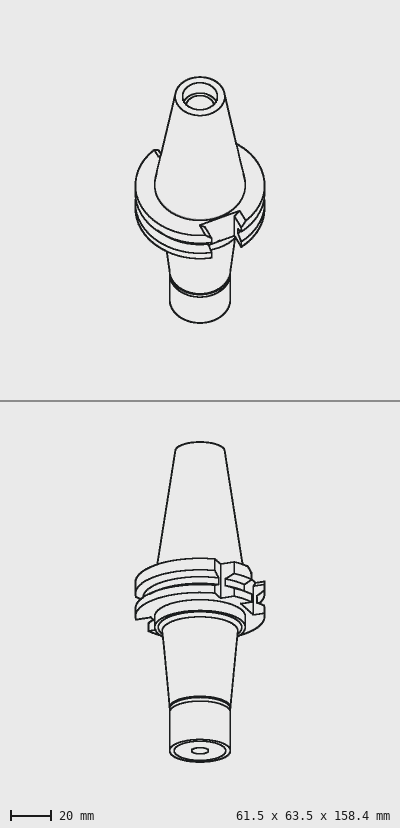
import cadquery as cq
import math

total_height = 158.4
taper_bottom = 90.0
flange_top = 89.0
flange_bottom = 71.0
collar_bottom = 65.3
neck_top = 63.4
neck_bottom = 22.8
ring_gap = 0.6
ring_top = neck_bottom - ring_gap
ring_bottom = 20.3

taper_top_radius = 12.2
taper_base_radius = 44.5 / 2
flange_radius = 63.5 / 2
neck_top_radius = 37.2 / 2
neck_bottom_radius = 30.0 / 2
neck_chamfer_radius = neck_top_radius + collar_bottom - neck_top
spigot_radius = 12.7

groove_radius = 28.0
groove_floor_top = 80.8
groove_floor_bottom = 77.3
groove_flank_rise = (flange_radius - groove_radius) * math.tan(math.radians(30))

slot_width = 16.0
slot_chamfer = 2.9
left_slot_floor = 25.0
right_slot_floor = 22.8
notch_offset = 18.5

pilot_bore_radius = 8.5
pilot_bore_depth = 8.0
thread_bore_radius = 7.0
thread_bore_depth = 42.8
through_hole_radius = 4.1

nut_radius = neck_bottom_radius


def make_holder_blank():
    """Turned holder body: spigot, neck, collar, grooved flange and steep taper."""
    profile = [
        (0, 0),
        (spigot_radius, 0),
        (spigot_radius, neck_bottom),
        (neck_bottom_radius, neck_bottom),
        (neck_top_radius, neck_top),
        (neck_chamfer_radius, collar_bottom),
        (taper_base_radius, collar_bottom),
        (taper_base_radius, flange_bottom),
        (flange_radius, flange_bottom),
        (flange_radius, groove_floor_bottom - groove_flank_rise),
        (groove_radius, groove_floor_bottom),
        (groove_radius, groove_floor_top),
        (flange_radius, groove_floor_top + groove_flank_rise),
        (flange_radius, flange_top),
        (taper_base_radius, flange_top),
        (taper_base_radius, taper_bottom),
        (taper_top_radius, total_height),
        (0, total_height),
    ]
    return cq.Workplane("XZ").polyline(profile).close().revolve(360, (0, 0), (0, 1))


def make_drive_slot(side, floor_distance):
    """Cutter for a slot on the +X (side = 1) or -X (side = -1) edge of the flange, flared at its top."""
    half_width = slot_width / 2
    half_mouth = half_width + slot_chamfer
    outline = [
        (-half_width, flange_bottom),
        (half_width, flange_bottom),
        (half_width, flange_top - slot_chamfer),
        (half_mouth, flange_top),
        (-half_mouth, flange_top),
        (-half_width, flange_top - slot_chamfer),
    ]
    slot_depth = flange_radius - floor_distance
    cutter = cq.Workplane("YZ").polyline(outline).close().extrude(side * slot_depth)
    return cutter.translate((side * floor_distance, 0, 0))


def make_orientation_notch():
    """Square-cornered cutter that removes the -X, +Y corner of the flange."""
    notch_size = flange_radius - notch_offset
    return (
        cq.Workplane("XY")
        .box(notch_size, notch_size, flange_top - flange_bottom, centered=False)
        .translate((-flange_radius, notch_offset, flange_bottom))
    )


def make_bore(radius, depth):
    """Cutter for a round bore going down from the top face."""
    return cq.Workplane("XY").workplane(offset=total_height).circle(radius).extrude(-depth)


def make_holder():
    """Holder with its drive slots, orientation notch and stepped bore."""
    return (
        make_holder_blank()
        .cut(make_drive_slot(-1, left_slot_floor))
        .cut(make_drive_slot(1, right_slot_floor))
        .cut(make_orientation_notch())
        .cut(make_bore(pilot_bore_radius, pilot_bore_depth))
        .cut(make_bore(thread_bore_radius, thread_bore_depth))
        .cut(make_bore(through_hole_radius, total_height))
    )


def make_sleeve(bottom, top):
    """Plain sleeve that fits around the holder's spigot."""
    return (
        cq.Workplane("XY")
        .workplane(offset=bottom)
        .circle(nut_radius)
        .circle(spigot_radius)
        .extrude(top - bottom)
    )


holder = make_holder()
ring = make_sleeve(ring_bottom, ring_top)
nut = make_sleeve(0, ring_bottom)

result = cq.Compound.makeCompound([holder.val(), ring.val(), nut.val()])